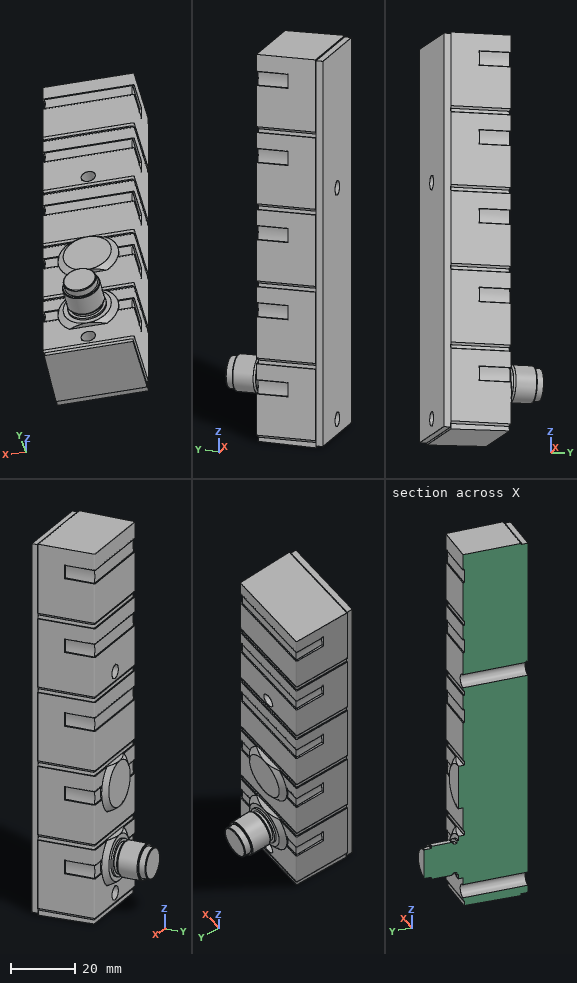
import cadquery as cq
import math

HEIGHT = 125.8
FRONT_WIDTH = 30.0
BACK_WIDTH = 29.2
BACK_Y = 21.9
BACK_EDGE_RADIUS = 0.4
BOTTOM_DRAFT = 0.4

PLATE_WIDTH = 29.2
PLATE_THICKNESS = 2.3
PLATE_BOTTOM = 0.6
PLATE_TOP = 125.5

SEGMENT_COUNT = 5
LOWEST_NECK_Z = 1.8
HIGHEST_NECK_Z = 101.7
PITCH = (HIGHEST_NECK_Z - LOWEST_NECK_Z) / (SEGMENT_COUNT - 1)
CHAMFER_HEIGHT = 0.8
NECK_INSET = 0.5
FOOT_HEIGHT = 1.1
FOOT_INSET = 0.4

RECESS_OFFSET = 16.4
RECESS_FLOOR_RADIUS = 10.1
RECESS_DEPTH = 0.8
RECESS_HEIGHT = 4.5
RECESS_START_Y = 11.5
RECESS_BACK_DEPTH = 0.4

HOLE_DIAMETER = 4.5
HOLE_BOTTOM_Z = 5.7
HOLE_PITCH_COUNT = 3

PAD_OFFSET = 16.2
PAD_COUNT = 2
PAD_BASE_DIAMETER = 19.4
PAD_TOP_DIAMETER = 15.4
PAD_HEIGHT = 1.5
PAD_FLAT_HEIGHT = 15.4
PAD_ROOT = 1.3

CONNECTOR_END_Y = 35.0
FLANGE_END_Y = 24.0
NECK_END_Y = 25.0
SLEEVE_START_Y = 25.7
SLEEVE_END_Y = 32.3
FLANGE_RADIUS = 12.3 / 2
NECK_RADIUS = 10.5 / 2
COLLAR_RADIUS = 11.0 / 2
SLEEVE_RADIUS = 12.0 / 2
NOSE_RADIUS = 10.5 / 2
SLEEVE_CHAMFER = 0.3
TIP_CHAMFER = 0.3


def outline(plane, inset):
    """Housing section with rounded back edges, inset on the sides and the back."""
    front = FRONT_WIDTH / 2 - inset
    back = BACK_WIDTH / 2 - inset
    back_y = BACK_Y - inset
    arc_trim = BACK_EDGE_RADIUS * (1 - math.sqrt(0.5))
    return (
        plane.moveTo(-front, PLATE_THICKNESS)
        .lineTo(front, PLATE_THICKNESS)
        .lineTo(back, back_y - BACK_EDGE_RADIUS)
        .threePointArc((back - arc_trim, back_y - arc_trim), (back - BACK_EDGE_RADIUS, back_y))
        .lineTo(BACK_EDGE_RADIUS - back, back_y)
        .threePointArc((arc_trim - back, back_y - arc_trim), (-back, back_y - BACK_EDGE_RADIUS))
        .close()
    )


def layer(z_low, inset_low, z_high, inset_high):
    """Housing slice that changes evenly from one side and back inset to another."""
    slice_outline = outline(cq.Workplane("XY", origin=(0, 0, z_low)), inset_low)
    slice_outline = outline(slice_outline.workplane(offset=z_high - z_low), inset_high)
    return slice_outline.loft(ruled=True)


def neck_z(index):
    return LOWEST_NECK_Z + index * PITCH


def segment(index):
    """One segment: inset foot, chamfer and straight body up to the next foot or the top."""
    neck = neck_z(index)
    is_lowest = index == 0
    is_highest = index == SEGMENT_COUNT - 1
    foot_bottom = 0 if is_lowest else neck - FOOT_HEIGHT
    body_bottom = neck + CHAMFER_HEIGHT
    body_top = HEIGHT if is_highest else neck_z(index + 1) - FOOT_HEIGHT
    foot = layer(foot_bottom, FOOT_INSET, neck, NECK_INSET)
    chamfer = layer(neck, NECK_INSET, body_bottom, 0)
    body = layer(body_bottom, 0, body_top, 0)
    return foot.union(chamfer).union(body)


def bottom_draft_cutter():
    """Thin wedge that slopes the bottom face up toward the back."""
    return (
        cq.Workplane("YZ")
        .polyline([(PLATE_THICKNESS, 0), (BACK_Y, 0), (BACK_Y, BOTTOM_DRAFT)]).close()
        .extrude(FRONT_WIDTH, both=True)
    )


def recess_cutter(z):
    """Round-bottomed recess in both sides, joined by a shallow slot across the back."""
    axis_x = BACK_WIDTH / 2 - RECESS_DEPTH + RECESS_FLOOR_RADIUS
    cutter = (
        cq.Workplane("XZ", origin=(0, RECESS_START_Y, z))
        .pushPoints([(-axis_x, 0), (axis_x, 0)])
        .circle(RECESS_FLOOR_RADIUS)
        .extrude(RECESS_START_Y - CONNECTOR_END_Y)
    )
    band = cq.Workplane("XY", origin=(0, RECESS_START_Y, z)).box(
        4 * FRONT_WIDTH, CONNECTOR_END_Y, RECESS_HEIGHT, centered=(True, False, True)
    )
    back_slot = cq.Workplane("XY", origin=(0, BACK_Y - RECESS_BACK_DEPTH, z)).box(
        FRONT_WIDTH, RECESS_BACK_DEPTH, RECESS_HEIGHT, centered=(True, False, True)
    )
    return cutter.intersect(band).union(back_slot)


def turned(profile, z):
    """Solid of revolution about a Y-parallel axis at height z, from (radius, y) points."""
    return (
        cq.Workplane("XY", origin=(0, 0, z))
        .polyline(profile).close()
        .revolve(360, (0, 0, 0), (0, 1, 0))
    )


def pad(z):
    """Truncated cone with flats on top and bottom."""
    base_radius = PAD_BASE_DIAMETER / 2
    cone = turned(
        [
            (0, BACK_Y - PAD_ROOT),
            (base_radius, BACK_Y - PAD_ROOT),
            (base_radius, BACK_Y),
            (PAD_TOP_DIAMETER / 2, BACK_Y + PAD_HEIGHT),
            (0, BACK_Y + PAD_HEIGHT),
        ],
        z,
    )
    band = cq.Workplane("XY", origin=(0, BACK_Y, z)).box(
        PAD_BASE_DIAMETER, PAD_BASE_DIAMETER, PAD_FLAT_HEIGHT
    )
    return cone.intersect(band)


def connector(z):
    """Turned plug: flange, neck, collar, sleeve and nose."""
    return turned(
        [
            (0, BACK_Y),
            (FLANGE_RADIUS, BACK_Y),
            (FLANGE_RADIUS, FLANGE_END_Y),
            (NECK_RADIUS, FLANGE_END_Y),
            (NECK_RADIUS, NECK_END_Y),
            (COLLAR_RADIUS, NECK_END_Y),
            (SLEEVE_RADIUS, SLEEVE_START_Y),
            (SLEEVE_RADIUS, SLEEVE_END_Y),
            (SLEEVE_RADIUS - SLEEVE_CHAMFER, SLEEVE_END_Y + SLEEVE_CHAMFER),
            (NOSE_RADIUS, SLEEVE_END_Y + SLEEVE_CHAMFER),
            (NOSE_RADIUS, CONNECTOR_END_Y - TIP_CHAMFER),
            (NOSE_RADIUS - TIP_CHAMFER, CONNECTOR_END_Y),
            (0, CONNECTOR_END_Y),
        ],
        z,
    )


result = cq.Workplane("XY", origin=(0, 0, PLATE_BOTTOM)).box(
    PLATE_WIDTH, PLATE_THICKNESS, PLATE_TOP - PLATE_BOTTOM, centered=(True, False, False)
)
for i in range(SEGMENT_COUNT):
    result = result.union(segment(i))
result = result.cut(bottom_draft_cutter())

for i in range(SEGMENT_COUNT):
    result = result.cut(recess_cutter(neck_z(i) + RECESS_OFFSET))

for i in range(PAD_COUNT):
    result = result.union(pad(neck_z(i) + PAD_OFFSET))
result = result.union(connector(neck_z(0) + PAD_OFFSET))

hole_points = [(0, HOLE_BOTTOM_Z), (0, HOLE_BOTTOM_Z + HOLE_PITCH_COUNT * PITCH)]
holes = cq.Workplane("XZ").pushPoints(hole_points).circle(HOLE_DIAMETER / 2).extrude(-CONNECTOR_END_Y)
result = result.cut(holes)